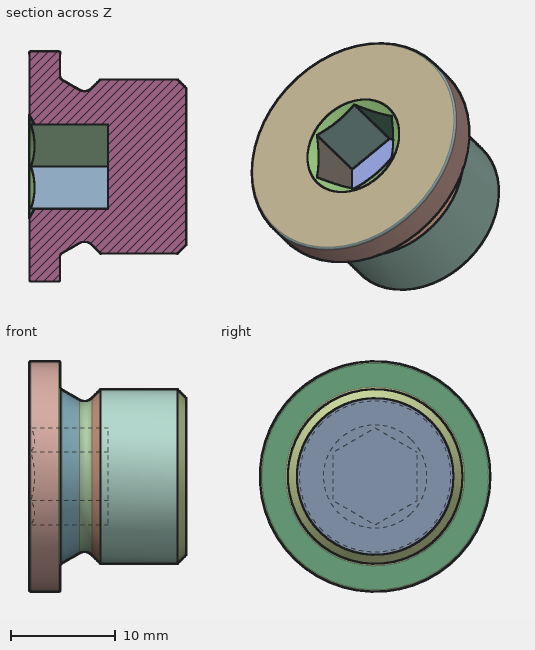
import cadquery as cq
import math

HEAD_DIAMETER = 22.0
HEAD_THICKNESS = 3.0
HEAD_EDGE_RADIUS = 0.2
LENGTH = 15.0
SHANK_DIAMETER = 16.65
END_CHAMFER = 0.85

NECK_DIAMETER = 14.4
NECK_X = 5.28
GROOVE_RADIUS = 1.0
HEAD_SIDE_ANGLE = math.radians(30)
SHANK_SIDE_ANGLE = math.radians(45)
HEAD_CORNER_RADIUS = 0.09

HEX_ACROSS_FLATS = 8.0
HEX_DEPTH = 7.5
COUNTERSINK_DIAMETER = 9.85
COUNTERSINK_WALL_ANGLE = math.radians(30)


def groove_point(angle):
    """Point on the groove arc, at a signed angle from its deepest point."""
    x = NECK_X + GROOVE_RADIUS * math.sin(angle)
    radius = NECK_DIAMETER / 2 + GROOVE_RADIUS * (1 - math.cos(angle))
    return x, radius


def make_body():
    """Revolve the half profile, drawn as (X, radius), about the X axis."""
    shank_radius = SHANK_DIAMETER / 2
    arc_start = groove_point(-HEAD_SIDE_ANGLE)
    arc_end = groove_point(SHANK_SIDE_ANGLE)
    cone_rise = (arc_start[0] - HEAD_THICKNESS) * math.tan(HEAD_SIDE_ANGLE)
    shank_start = arc_end[0] + (shank_radius - arc_end[1]) / math.tan(SHANK_SIDE_ANGLE)

    corner_radius = arc_start[1] + cone_rise
    tangent = HEAD_CORNER_RADIUS / math.tan((math.pi / 2 - HEAD_SIDE_ANGLE) / 2)
    fillet_start = (HEAD_THICKNESS, corner_radius + tangent)
    fillet_end = (
        HEAD_THICKNESS + tangent * math.cos(HEAD_SIDE_ANGLE),
        corner_radius - tangent * math.sin(HEAD_SIDE_ANGLE),
    )

    profile = (
        cq.Workplane("XY")
        .lineTo(0, HEAD_DIAMETER / 2)
        .lineTo(HEAD_THICKNESS, HEAD_DIAMETER / 2)
        .lineTo(*fillet_start)
        .tangentArcPoint(fillet_end, relative=False)
        .lineTo(*arc_start)
        .threePointArc(groove_point(0), arc_end)
        .lineTo(shank_start, shank_radius)
        .lineTo(LENGTH - END_CHAMFER, shank_radius)
        .lineTo(LENGTH, shank_radius - END_CHAMFER)
        .lineTo(LENGTH, 0)
        .close()
    )
    body = profile.revolve(360, (0, 0, 0), (1, 0, 0))
    rim = cq.selectors.RadiusNthSelector(-1)
    return body.edges("%CIRCLE").edges(rim).fillet(HEAD_EDGE_RADIUS)


def make_socket():
    """Hexagon with two corners along Z, opened by a countersink at the head face."""
    hex_across_corners = HEX_ACROSS_FLATS / math.cos(math.pi / 6)
    hexagon = (
        cq.Workplane("YZ")
        .transformed(rotate=(0, 0, 90))
        .polygon(6, hex_across_corners)
        .extrude(HEX_DEPTH)
    )
    countersink_radius = COUNTERSINK_DIAMETER / 2
    countersink_depth = countersink_radius * math.tan(COUNTERSINK_WALL_ANGLE)
    cone = cq.Solid.makeCone(
        countersink_radius, 0, countersink_depth, cq.Vector(0, 0, 0), cq.Vector(1, 0, 0)
    )
    return hexagon.union(cq.Workplane(cone))


result = make_body().cut(make_socket())